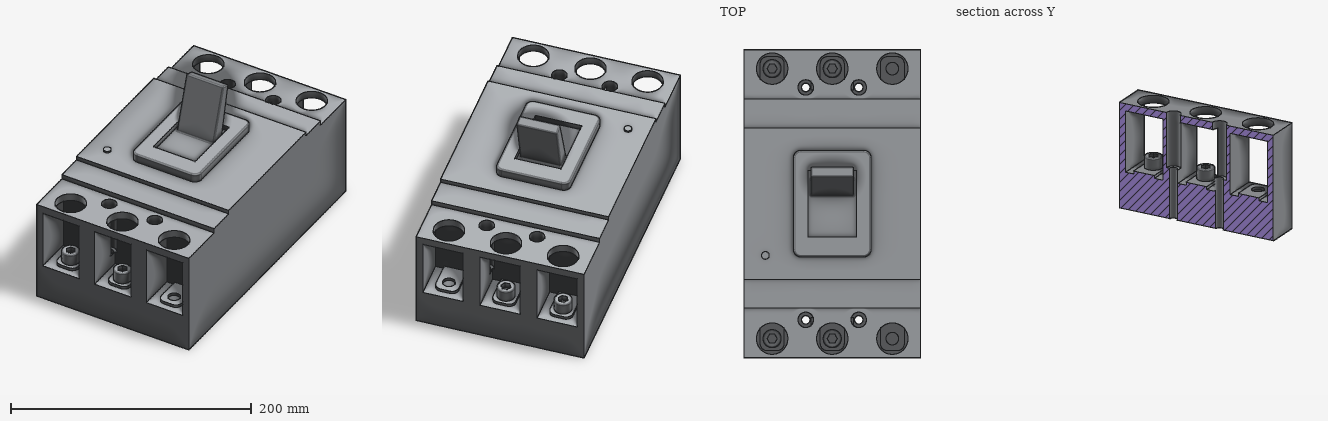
import cadquery as cq


body_width = 147.0
body_length = 256.0
end_height = 95.0
step_height = 99.3
step_length = 173.5
crown_height = 103.0
crown_length = 126.0

pole_pitch = 50.0
pole_positions = (-pole_pitch, 0, pole_pitch)
screw_poles = (-pole_pitch, 0)
pocket_width = 35.0
pocket_depth = 33.5
pocket_floor = 33.5
pocket_ceiling = 88.0

terminal_y = 112.0
access_hole_diameter = 26.0
pad_width = 20.0
pad_outer_y = 122.0
pad_thickness = 2.5
pad_corner_radius = 6.0
pad_hole_diameter = 10.5
screw_diameter = 15.0
screw_height = 12.8
screw_edge_radius = 0.8
socket_size = 8.5
socket_depth = 5.0

mount_x = 22.0
mount_y = 96.5
mount_hole_diameter = 7.0
mount_bore_diameter = 12.8
mount_bore_floor = 45.5

plate_width = 64.5
plate_length = 88.5
plate_top = 110.5
plate_corner_radius = 6.1
plate_edge_radius = 1.3
window_width = 40.5
window_length = 55.3
window_depth = 4.5
window_floor = plate_top - window_depth

handle_width = 35.5
handle_top = 155.0
handle_front_tip_y = 22.3
handle_front_y = 8.0
handle_back_tip_y = 30.5
handle_back_y = 21.2
handle_back_tip_z = 152.0
handle_edge_radius = 1.0
handle_root_radius = 1.3

button_x = -55.5
button_y = -43.0
button_diameter = 6.5
button_height = 1.5


def block(width, length, bottom, top):
    """Box centred on the Z axis between two heights."""
    height = top - bottom
    return cq.Workplane("XY", origin=(0, 0, bottom)).box(width, length, height, centered=(True, True, False))


def cylinder(x, y, diameter, bottom, top):
    """Upright cylinder between two heights."""
    return cq.Workplane("XY", origin=(x, y, bottom)).circle(diameter / 2).extrude(top - bottom)


def make_body():
    body = block(body_width, body_length, 0, end_height)
    body = body.union(block(body_width, step_length, 0, step_height))
    return body.union(block(body_width, crown_length, 0, crown_height))


def cut_pockets(body, end):
    """Open the wire pockets and their screwdriver holes at one end (+1 or -1)."""
    pocket_y = end * (body_length - pocket_depth) / 2
    for x in pole_positions:
        pocket = block(pocket_width, pocket_depth, pocket_floor, pocket_ceiling)
        body = body.cut(pocket.translate((x, pocket_y, 0)))
        body = body.cut(cylinder(x, end * terminal_y, access_hole_diameter, pocket_floor, end_height))
    return body


def cut_mounting_holes(body, end):
    for x in (-mount_x, mount_x):
        body = body.cut(cylinder(x, end * mount_y, mount_hole_diameter, 0, end_height))
        body = body.cut(cylinder(x, end * mount_y, mount_bore_diameter, mount_bore_floor, end_height))
    return body


def make_pad(x, end):
    """Contact pad from the pocket's inner wall outwards, with rounded outer corners."""
    inner_y = body_length / 2 - pocket_depth
    pad_length = pad_outer_y - inner_y
    top = pocket_floor + pad_thickness
    pad = block(pad_width, pad_length, pocket_floor, top)
    pad = pad.translate((x, end * (inner_y + pad_length / 2), 0))
    outer_side = ">Y" if end > 0 else "<Y"
    pad = pad.faces(outer_side).edges("|Z").fillet(pad_corner_radius)
    return pad.cut(cylinder(x, end * terminal_y, pad_hole_diameter, pocket_floor, top))


def make_screw(x, end):
    """Cylindrical screw head with a hexagon socket."""
    y = end * terminal_y
    top = pocket_floor + screw_height
    screw = cylinder(x, y, screw_diameter, pocket_floor, top)
    screw = screw.faces(">Z").edges().fillet(screw_edge_radius)
    socket = cq.Workplane("XY", origin=(x, y, top - socket_depth)).polygon(6, socket_size).extrude(socket_depth)
    return screw.cut(socket)


def make_plate():
    plate = block(plate_width, plate_length, crown_height, plate_top)
    plate = plate.edges("|Z").fillet(plate_corner_radius)
    plate = plate.faces(">Z").edges().fillet(plate_edge_radius)
    return plate.cut(block(window_width, window_length, window_floor, plate_top))


def make_handle():
    """Tapered lever; its two faces run straight on down to the window floor."""
    front_slope = (handle_front_tip_y - handle_front_y) / (handle_top - plate_top)
    back_slope = (handle_back_tip_y - handle_back_y) / (handle_back_tip_z - plate_top)
    side = [
        (handle_front_y - front_slope * window_depth, window_floor),
        (handle_front_tip_y, handle_top),
        (handle_back_tip_y, handle_back_tip_z),
        (handle_back_y - back_slope * window_depth, window_floor),
    ]
    handle = cq.Workplane("YZ").polyline(side).close().extrude(handle_width / 2, both=True)
    return handle.edges("not <Z").fillet(handle_edge_radius)


def add_handle(plate):
    """Join the handle to the window floor with a rounded root."""
    reach = handle_width / 2 + handle_root_radius / 2
    root_zone = cq.selectors.BoxSelector(
        (-reach, 0, window_floor - handle_root_radius),
        (reach, handle_back_y, window_floor + handle_root_radius),
    )
    return plate.union(make_handle()).edges(root_zone).fillet(handle_root_radius)


result = make_body()
for end in (-1, 1):
    result = cut_pockets(result, end)
    result = cut_mounting_holes(result, end)
    for x in pole_positions:
        result = result.union(make_pad(x, end))
    for x in screw_poles:
        result = result.union(make_screw(x, end))
result = result.union(add_handle(make_plate()))
result = result.union(cylinder(button_x, button_y, button_diameter, crown_height, crown_height + button_height))